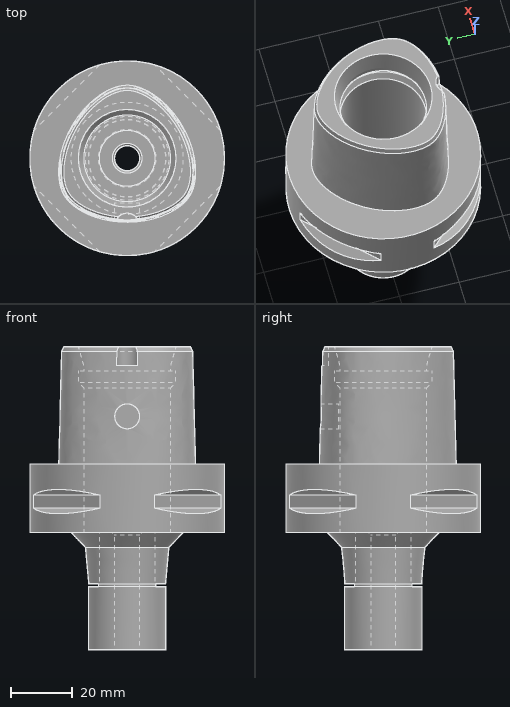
import cadquery as cq
import math

TOTAL_HEIGHT = 98.0
SLEEVE_TOP_Z = 20.5
HOLDER_BOTTOM_Z = 21.4
NOSE_TAPER_TOP_Z = 33.1
FLANGE_BOTTOM_Z = 37.9
FLANGE_TOP_Z = 60.1

FLANGE_RADIUS = 63.0 / 2
NOSE_CONE_RADIUS = 18.1
NOSE_TAPER_RADIUS = 13.5
NOSE_END_RADIUS = 12.4

SHANK_BASE_RADIUS = 22.1
LOBE_HEIGHT = 1.5
TAPER_RATIO = 1 / 40
SHANK_CHAMFER_HEIGHT = 1.6
SHANK_CHAMFER_WIDTH = 0.8

BORE_RADIUS = 14.0
BORE_MOUTH_RADIUS = 15.8
GROOVE_RADIUS = 15.7
MOUTH_DEPTH = 6.3
GROOVE_START_DEPTH = 7.8
GROOVE_END_DEPTH = 11.7
GROOVE_CHAMFER_DEPTH = GROOVE_END_DEPTH + GROOVE_RADIUS - BORE_RADIUS
BORE_FLOOR_Z = FLANGE_BOTTOM_Z

NOTCH_RADIUS = 3.9
NOTCH_INNER_Y = -17.7
NOTCH_BOTTOM_Z = 91.8
SIDE_HOLE_RADIUS = 4.0
SIDE_HOLE_Z = 75.5
SIDE_HOLE_FLOOR_Y = -14.5

SLOT_COUNT = 4
SLOT_Z = 47.9
SLOT_FLOOR_DISTANCE = 27.6
SLOT_FLOOR_HEIGHT = 4.2
SLOT_MOUTH_HEIGHT = 7.8

SPINDLE_SHANK_RADIUS = 9.0
SPINDLE_NECK_RADIUS = 9.3
SLEEVE_RADIUS = 12.5
SPINDLE_HOLE_RADIUS = 4.0
SPINDLE_HOLE_CHAMFER = 0.8


def revolve_profile(points):
    """Revolve a closed (radius, z) outline about the Z axis."""
    return cq.Workplane("XZ").polyline(points).close().revolve(360, (0, 0), (0, 1))


def lobed_wire(mean_radius, z):
    """Three-lobed outline with one lobe pointing along +Y."""

    def point(t):
        angle = 2 * math.pi * t
        reach = mean_radius + LOBE_HEIGHT * math.cos(3 * angle)
        slope = -3 * LOBE_HEIGHT * math.sin(3 * angle)
        along = reach * math.cos(angle) - slope * math.sin(angle)
        across = reach * math.sin(angle) + slope * math.cos(angle)
        return (-across, along, z)

    return cq.Workplane("XY").parametricCurve(point, N=96).val()


def make_tapered_shank():
    """Straight taper with a chamfered top edge, ruled between three parallel outlines."""
    chamfer_z = TOTAL_HEIGHT - SHANK_CHAMFER_HEIGHT
    upper_radius = SHANK_BASE_RADIUS - (chamfer_z - FLANGE_TOP_Z) * TAPER_RATIO
    outlines = [
        lobed_wire(SHANK_BASE_RADIUS, FLANGE_TOP_Z),
        lobed_wire(upper_radius, chamfer_z),
        lobed_wire(upper_radius - SHANK_CHAMFER_WIDTH, TOTAL_HEIGHT),
    ]
    return cq.Workplane(cq.Solid.makeLoft(outlines, True))


def make_flange_and_nose():
    return revolve_profile([
        (0, HOLDER_BOTTOM_Z),
        (NOSE_END_RADIUS, HOLDER_BOTTOM_Z),
        (NOSE_TAPER_RADIUS, NOSE_TAPER_TOP_Z),
        (NOSE_CONE_RADIUS, FLANGE_BOTTOM_Z),
        (FLANGE_RADIUS, FLANGE_BOTTOM_Z),
        (FLANGE_RADIUS, FLANGE_TOP_Z),
        (0, FLANGE_TOP_Z),
    ])


def make_bore():
    """Conical mouth, undercut groove, main bore and the seat for the spindle shank."""
    return revolve_profile([
        (0, HOLDER_BOTTOM_Z),
        (SPINDLE_SHANK_RADIUS, HOLDER_BOTTOM_Z),
        (SPINDLE_SHANK_RADIUS, BORE_FLOOR_Z),
        (BORE_RADIUS, BORE_FLOOR_Z),
        (BORE_RADIUS, TOTAL_HEIGHT - GROOVE_CHAMFER_DEPTH),
        (GROOVE_RADIUS, TOTAL_HEIGHT - GROOVE_END_DEPTH),
        (GROOVE_RADIUS, TOTAL_HEIGHT - GROOVE_START_DEPTH),
        (BORE_RADIUS, TOTAL_HEIGHT - GROOVE_START_DEPTH),
        (BORE_RADIUS, TOTAL_HEIGHT - MOUTH_DEPTH),
        (BORE_MOUTH_RADIUS, TOTAL_HEIGHT),
        (0, TOTAL_HEIGHT),
    ])


def make_notch():
    return (
        cq.Workplane("XY", origin=(0, NOTCH_INNER_Y - NOTCH_RADIUS, NOTCH_BOTTOM_Z))
        .circle(NOTCH_RADIUS)
        .extrude(TOTAL_HEIGHT - NOTCH_BOTTOM_Z)
    )


def make_side_hole():
    """Blind radial hole that stops just short of the bore."""
    return (
        cq.Workplane("XZ", origin=(0, SIDE_HOLE_FLOOR_Y, SIDE_HOLE_Z))
        .circle(SIDE_HOLE_RADIUS)
        .extrude(FLANGE_RADIUS + SIDE_HOLE_FLOOR_Y)
    )


def make_slot(angle):
    """Straight slot with a flat floor and walls that flare outwards."""
    half_floor = SLOT_FLOOR_HEIGHT / 2
    half_mouth = SLOT_MOUTH_HEIGHT / 2
    return (
        cq.Workplane("XZ")
        .polyline([
            (SLOT_FLOOR_DISTANCE, SLOT_Z - half_floor),
            (FLANGE_RADIUS, SLOT_Z - half_mouth),
            (FLANGE_RADIUS, SLOT_Z + half_mouth),
            (SLOT_FLOOR_DISTANCE, SLOT_Z + half_floor),
        ])
        .close()
        .extrude(FLANGE_RADIUS, both=True)
        .rotate((0, 0, 0), (0, 0, 1), angle)
    )


def make_holder():
    holder = make_flange_and_nose().union(make_tapered_shank())
    holder = holder.cut(make_bore()).cut(make_notch()).cut(make_side_hole())
    slot_pitch = 360 / SLOT_COUNT
    for index in range(SLOT_COUNT):
        holder = holder.cut(make_slot(slot_pitch * (index + 0.5)))
    return holder


def make_spindle():
    """Sleeve, neck and a shank that ends flush with the floor of the holder's bore."""
    return revolve_profile([
        (SPINDLE_HOLE_RADIUS, 0),
        (SLEEVE_RADIUS, 0),
        (SLEEVE_RADIUS, SLEEVE_TOP_Z),
        (SPINDLE_NECK_RADIUS, SLEEVE_TOP_Z),
        (SPINDLE_NECK_RADIUS, HOLDER_BOTTOM_Z),
        (SPINDLE_SHANK_RADIUS, HOLDER_BOTTOM_Z),
        (SPINDLE_SHANK_RADIUS, BORE_FLOOR_Z),
        (SPINDLE_HOLE_RADIUS + SPINDLE_HOLE_CHAMFER, BORE_FLOOR_Z),
        (SPINDLE_HOLE_RADIUS, BORE_FLOOR_Z - SPINDLE_HOLE_CHAMFER),
    ])


holder = make_holder()
spindle = make_spindle()
result = cq.Compound.makeCompound([*holder.solids().vals(), spindle.val()])